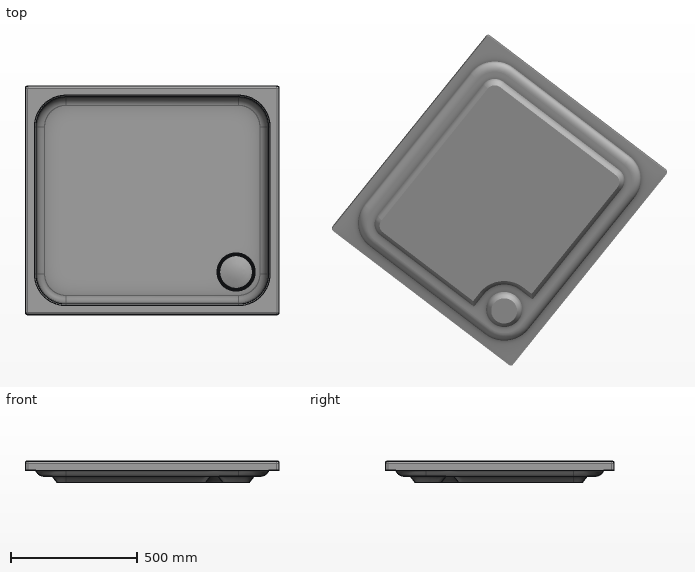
import cadquery as cq
import math

length = 1006.0
width = 907.0
total_height = 86.0

rim_height = 37.0
rim_corner_radius = 10.0
rim_top_radius = 9.0

corner_centre_inset = 162.0

basin_depth = 52.0
lip_inset = 36.0
lip_chamfer = 6.0
lip_angle = 45
wall_draft_angle = 10
basin_bottom_radius = 31.0

pan_depth = 60.0
pan_wall_inset = 38.0
pan_bottom_radius = 38.0

foot_top_inset = 107.0
foot_bottom_inset = 127.0
foot_height = total_height - pan_depth
foot_taper = math.degrees(math.atan2(foot_bottom_inset - foot_top_inset, foot_height))

drain_x = 332.0
drain_y = -284.0
boss_top_radius = 71.0
boss_bottom_radius = 51.0
notch_bottom_radius = 122.0
recess_radius = 75.0
recess_depth = 7.0

cover_diameter = 130.0
cover_edge_height = 9.0
cover_dome_height = 10.0
cover_radius = cover_diameter / 2


def rounded_outline(inset, z):
    """Rounded rectangle at height z, inset from the sides of the tray."""
    return (
        cq.Workplane("XY", origin=(0, 0, z))
        .sketch()
        .rect(length - 2 * inset, width - 2 * inset)
        .vertices()
        .fillet(corner_centre_inset - inset)
        .finalize()
    )


def drain_cone(top_radius, bottom_radius, top_z, height):
    """Frustum on the drain axis that hangs down from top_z."""
    solid = cq.Solid.makeCone(
        top_radius, bottom_radius, height, pnt=cq.Vector(drain_x, drain_y, top_z), dir=cq.Vector(0, 0, -1)
    )
    return cq.Workplane(obj=solid)


def make_rim():
    slab = cq.Workplane("XY").box(length, width, rim_height, centered=(True, True, False))
    slab = slab.translate((0, 0, -rim_height)).edges("|Z").fillet(rim_corner_radius)
    return slab.faces(">Z").edges().fillet(rim_top_radius)


def make_pan():
    pan = rounded_outline(pan_wall_inset, -pan_depth).extrude(pan_depth)
    return pan.faces("<Z").edges().fillet(pan_bottom_radius)


def make_notch():
    """Space around the drain: an arc about its axis, with straight walls out to two sides of the foot."""
    notch_outline = (
        cq.Workplane("XY", origin=(0, 0, -total_height))
        .moveTo(drain_x - notch_bottom_radius, -width)
        .lineTo(drain_x - notch_bottom_radius, drain_y)
        .radiusArc((drain_x, drain_y + notch_bottom_radius), notch_bottom_radius)
        .lineTo(length, drain_y + notch_bottom_radius)
        .lineTo(length, -width)
        .close()
    )
    return notch_outline.extrude(foot_height, taper=foot_taper)


def make_foot():
    foot = rounded_outline(foot_top_inset, -pan_depth).extrude(-foot_height, taper=foot_taper)
    boss = drain_cone(boss_top_radius, boss_bottom_radius, -pan_depth, foot_height)
    return foot.cut(make_notch()).union(boss)


def make_basin():
    """Space that the basin takes out of the tray."""
    lip = rounded_outline(lip_inset, 0).extrude(-lip_chamfer, taper=lip_angle)
    well = rounded_outline(lip_inset + lip_chamfer, -lip_chamfer).extrude(
        lip_chamfer - basin_depth, taper=wall_draft_angle
    )
    well = well.faces("<Z").edges().fillet(basin_bottom_radius)
    return lip.union(well)


def make_tray():
    tray = make_rim().union(make_pan()).union(make_foot()).cut(make_basin())
    recess = drain_cone(recess_radius, recess_radius - recess_depth, -basin_depth, recess_depth)
    return tray.cut(recess)


def make_cover():
    dome_radius = (cover_radius**2 + cover_dome_height**2) / (2 * cover_dome_height)
    profile = (
        cq.Workplane("XZ")
        .lineTo(cover_radius, 0)
        .lineTo(cover_radius, cover_edge_height)
        .radiusArc((0, cover_edge_height + cover_dome_height), -dome_radius)
        .close()
    )
    cover = profile.revolve(360, (0, 0, 0), (0, 1, 0))
    return cover.translate((drain_x, drain_y, -basin_depth - recess_depth))


tray = make_tray()
drain_cover = make_cover()

result = cq.Compound.makeCompound([tray.solids().val(), drain_cover.val()])